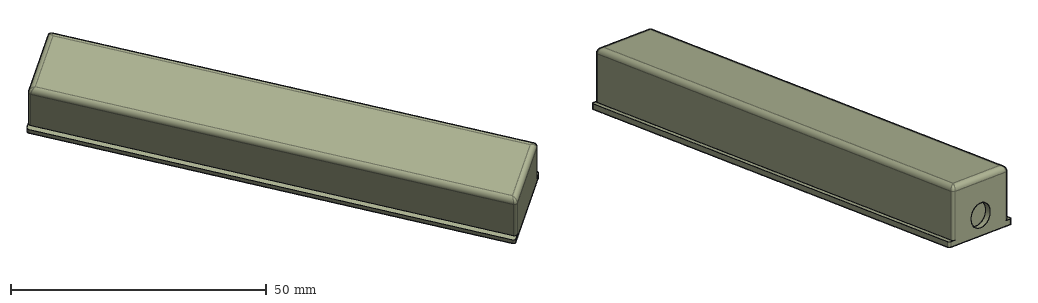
import cadquery as cq

length = 99.3
body_width = 15.2
height = 12.7
top_radius = 1.2
upright_edge_radius = 0.6

flange_width = 17.3
flange_thickness = 1.2
flange_corner_radius = 0.5

recess_diameter = 5.3
recess_depth = 1.3
recess_height = 4.4


def make_body():
    """Rectangular bar with rounded upright and top edges."""
    bar = cq.Workplane("XY").box(length, body_width, height, centered=(True, True, False))
    rounded_top = bar.faces(">Z").edges().fillet(top_radius)
    return rounded_top.edges("|Z").fillet(upright_edge_radius)


def make_flange():
    """Thin base plate with rounded corners."""
    plate = cq.Workplane("XY").box(length, flange_width, flange_thickness, centered=(True, True, False))
    return plate.edges("|Z").fillet(flange_corner_radius)


def make_end_recess():
    """Cylinder removed from the -X end."""
    return (
        cq.Workplane("YZ", origin=(-length / 2, 0, recess_height))
        .circle(recess_diameter / 2)
        .extrude(recess_depth)
    )


result = make_body().union(make_flange()).cut(make_end_recess())